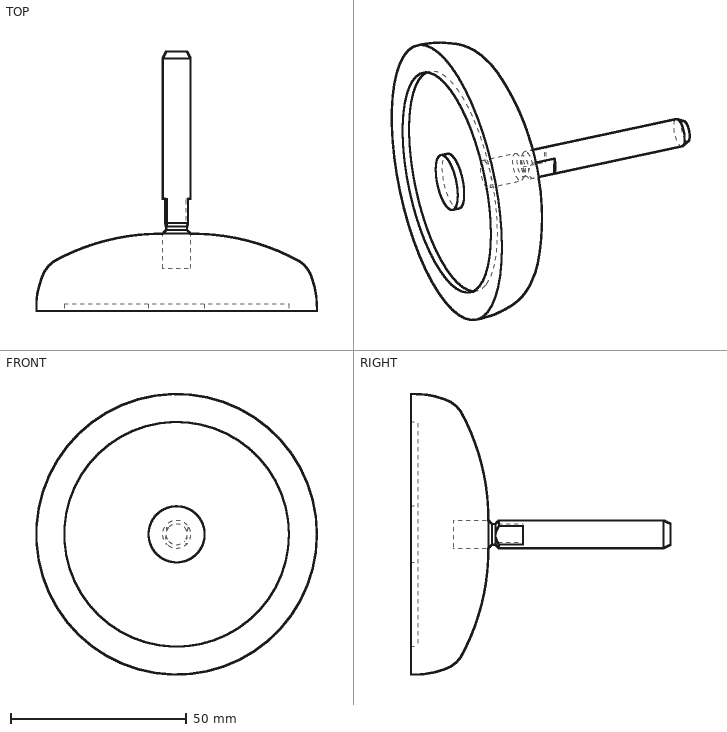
import cadquery as cq
import math


foot_radius = 40.0
foot_height = 22.1
rim_height = 1.25
side_top_height = 9.5
side_arc_radius = 24.0
shoulder_top_radius = 35.0
shoulder_top_height = 14.25
shoulder_arc_radius = 8.8
dome_arc_radius = 63.0
recess_radius = 32.0
recess_depth = 2.0
boss_radius = 8.0

stud_radius = 4.0
stud_end = 74.0
tip_radius = 3.0
tip_chamfer_length = 2.0
neck_radius = 3.0
neck_length = 1.0
neck_taper = stud_radius - neck_radius
stud_insertion = 10.0
flat_width = 6.0
flat_end = 32.0
flat_tilt = 6.0


def make_foot():
    """Domed disc with a shallow ring recess below and a blind hole for the stud on top."""
    side_rise = side_top_height - rim_height
    side_inset = side_arc_radius - math.sqrt(side_arc_radius**2 - side_rise**2)
    side_top_radius = foot_radius - side_inset
    profile = (
        cq.Workplane("XY")
        .lineTo(boss_radius, 0)
        .lineTo(boss_radius, recess_depth)
        .lineTo(recess_radius, recess_depth)
        .lineTo(recess_radius, 0)
        .lineTo(foot_radius, 0)
        .lineTo(foot_radius, rim_height)
        .radiusArc((side_top_radius, side_top_height), -side_arc_radius)
        .radiusArc((shoulder_top_radius, shoulder_top_height), -shoulder_arc_radius)
        .radiusArc((stud_radius, foot_height), -dome_arc_radius)
        .lineTo(stud_radius, foot_height - stud_insertion)
        .lineTo(0, foot_height - stud_insertion)
        .close()
    )
    return profile.revolve(360, (0, 0), (0, 1))


def make_stud():
    """Round stud with a necked groove above the foot, two wrench flats and a chamfered tip."""
    neck_start = foot_height + neck_taper
    neck_end = neck_start + neck_length
    shank_start = neck_end + neck_taper
    profile = (
        cq.Workplane("XY")
        .moveTo(0, foot_height - stud_insertion)
        .lineTo(stud_radius, foot_height - stud_insertion)
        .lineTo(stud_radius, foot_height)
        .lineTo(neck_radius, neck_start)
        .lineTo(neck_radius, neck_end)
        .lineTo(stud_radius, shank_start)
        .lineTo(stud_radius, stud_end - tip_chamfer_length)
        .lineTo(tip_radius, stud_end)
        .lineTo(0, stud_end)
        .close()
    )
    stud = profile.revolve(360, (0, 0), (0, 1))

    flat_length = flat_end - neck_end
    for side in (-1, 1):
        flat_cutter = (
            cq.Workplane("XY")
            .box(stud_radius, flat_length, 2 * stud_radius)
            .translate((side * (flat_width + stud_radius) / 2, neck_end + flat_length / 2, 0))
            .rotate((0, 0, 0), (0, 1, 0), flat_tilt)
        )
        stud = stud.cut(flat_cutter)
    return stud


foot = make_foot()
stud = make_stud()

result = cq.Compound.makeCompound([foot.val(), stud.val()])